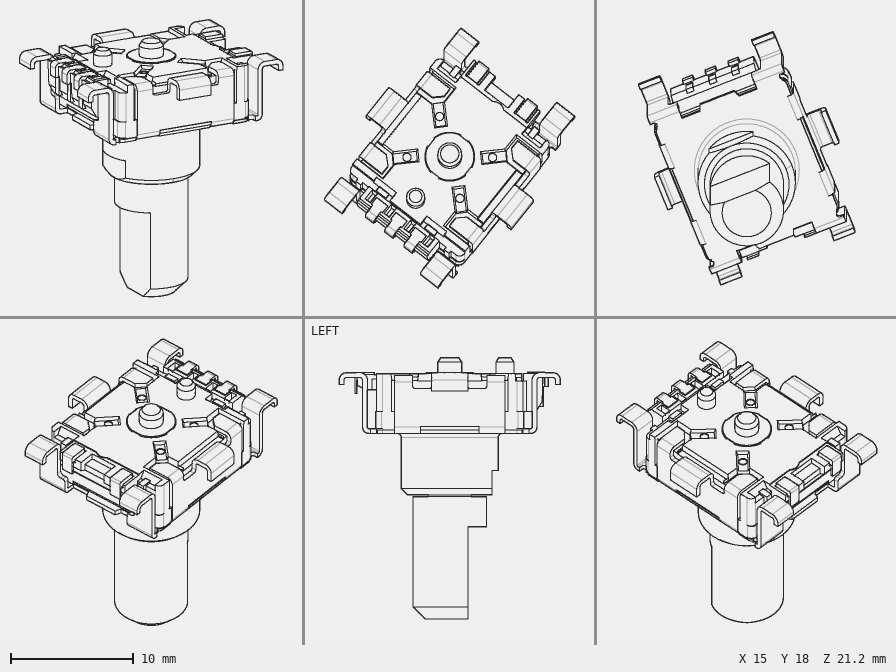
import cadquery as cq
import math


TOTAL_HEIGHT = 21.25
SPAN_X = 15.0
SPAN_Y = 18.0
MERGE = 0.1

SHAFT_R = 3.0
SHAFT_TOP = 9.97
SHAFT_CHAMFER = 1.0
SHAFT_FLAT_Y = -1.49
SHAFT_FLAT_TOP = 7.5
NECK_R = 1.75
BUSHING_R = 3.95
BUSHING_BOTTOM = 10.1
BUSHING_CHAMFER = 0.5
BUSHING_FLAT_Y = -3.45
BUSHING_FLAT_TOP = 12.08
FLARE = 0.32

SHEET = 0.4
BEND_IN = 0.21
BEND_OUT = BEND_IN + SHEET
FOOT_BEND_IN = 0.1
FOOT_BEND_OUT = FOOT_BEND_IN + SHEET
FRAME_BOTTOM = 15.1
FLOOR_TOP = FRAME_BOTTOM + SHEET
FLOOR_X = 5.7
HOOK_TOP = 20.05
FRAME_X = 5.89
WALL_IN_X = FRAME_X - SHEET
WALL_HALF_Y = 4.49
WALL_TOP = 18.75
WALL_GAP_HALF_Y = 3.02
WALL_GAP_R = 0.21
SIDE_HOOK_HALF_Y = 1.47
SIDE_HOOK_TIP_Z = 18.55
SQUARE_EDGE_X = 5.63
SQUARE_EDGE_HALF_Y = 2.35
SQUARE_EDGE_TOP = 15.67
LEG_Y = 7.1
LEG_IN_X = 4.05
LEG_FOOT_X = 3.27
LEG_FOOT_TOP = 16.63
LEG_FOOT_ROUND = 0.21
LEG_FOOT_FILLET = 0.32
LEG_TIP_Z = 19.07
NOTCH_X = 5.38
NOTCH_W = 0.47
LIP_Y = 6.48
LIP_HALF_X = 1.5
LIP_ROOT_X = 1.72

BODY_X = 5.83
BODY_Y = 5.97
BODY_TOP = 19.96
CORNER_R = 0.49
PLINTH_TOP = 16.88
PLINTH_EXTRA = 0.06
RECESS_FLOOR = 19.4
LEDGE_X = 4.91
LEDGE_HALF_Y = 2.57
LEDGE_Z = 19.35
GROOVE_W = 0.25
RAMP_RUN = 0.4
UNDERCUT_DEPTH = 0.17
UNDERCUT_HEIGHT = 0.35

TAB_TOP = 19.81
TAB_BEND_R = 0.5
TAB_IN_X = 3.49
TAB_CUT_X = 4.19
TAB_CUT_Y = 3.68
RECESS_Y = 4.8
RECESS_IN_X = 3.13
RECESS_CORNER_Y = 3.27
RECESS_DRAFT = 12.0
SLOT_FLOOR = 19.69
SLOT_DRAFT = 25.0
SLOT_INNER = (1.7, 1.87)
SLOT_OUTER = (2.45, 1.1)
SLOT_ROOT = (3.85, 2.5)
SLOT_OVERLAP = 0.21
DIMPLE_R = 0.35
DIMPLE_DEPTH = 0.09
DIMPLE_X = 2.75
DIMPLE_Y = 2.15

DISC_R = 2.02
DISC_H = 0.09
DISC_CHAMFER = 0.06
DISC_NOTCH_R = 1.9
DISC_NOTCH_W = 0.83
PIN_R = 0.98
LOCATOR_R = 0.75
LOCATOR_Y = -4.49
PIN_CHAMFER_H = 0.36
PIN_CHAMFER_W = 0.23
LID_EDGE_Y = 5.76
BUMP_R = 0.83
BUMP_X = 0.49

FRONT_HALF_X = 3.64
FRONT_Y = -7.6
FRONT_TOP = 19.98
FRONT_LEDGE_W = 0.2
FRONT_BEVEL_W = 0.15
FRONT_LEDGE_DROP = 0.21
FRONT_SLOPE_TOP = 17.69
FRONT_SLOPE_Y = -7.5
FRONT_BOTTOM_Y = -7.04
FRONT_PITCH = 2.0
FRONT_PIN_W = 0.87
FRONT_PIN_PLATE_W = 1.15
FRONT_PIN_PLATE_Y = (-7.04, -6.34)
FRONT_PIN_TOP = 20.1
FRONT_PIN_TIP_Z = 18.9
FRONT_PIN_TIP_Y = -8.02
FRONT_PIN_T = 0.3
FRONT_STRIP_W = 0.6
FRONT_STRIP_Y = -7.61
FRONT_STRIP_BOTTOM = 17.28
FRONT_PIT_X = (1.02, 2.98)
FRONT_PIT_W = 0.53
FRONT_PIT_Y = (-7.0, -6.04)
FRONT_PIT_DEPTH = 0.75
FRONT_PIT_DRAFT = 10.0
FRONT_SLIT_Y = (-6.0, -5.87)
FRONT_POCKET_X = (1.57, FRONT_HALF_X)
FRONT_POCKET_Y = -5.02
FRONT_STEP_Y = -5.35
PAD_X = (2.0, 3.02)
PAD_TOP = 19.67
FRONT_RIB_X = (4.32, 4.83)
FRONT_RIB_Y = -6.23

REAR_HALF_X = 3.42
REAR_Y = 7.53
REAR_TOP = 19.88
REAR_BOTTOM = 18.65
REAR_CHAMFER = 0.36
REAR_GAP_HALF_X = 1.21
REAR_GAP_Y = (6.1, 7.02)
REAR_GAP_TOP = 19.35
REAR_PIN_Y = (6.12, 7.72)
REAR_PIN_T = 0.17
REAR_PIN_TOP = 20.07
REAR_PIN_TIP_Z = 18.35
REAR_GROOVE_W = 0.17
REAR_GROOVE_DEPTH = 0.36
REAR_POCKET_X = (REAR_HALF_X, 5.32)
REAR_POCKET_Y = 5.1
REAR_RIB_X = (3.8, 4.34)
REAR_RIB_Y = (5.4, 6.31)
REAR_RIB_TOP = 19.52


def block(xs, ys, zs):
    """Box spanning the given X, Y and Z ranges."""
    size = [max(r) - min(r) for r in (xs, ys, zs)]
    corner = (min(xs), min(ys), min(zs))
    return cq.Workplane("XY").box(*size, centered=False).translate(corner)


def both_x(solid):
    """The solid together with its mirror image across the YZ plane."""
    return solid.union(solid.mirror("YZ"))


def all_corners(solid):
    """The solid repeated in all four quadrants of the plan."""
    half = both_x(solid)
    return half.union(half.mirror("XZ"))


def post(radius, z0, z1, x=0.0, y=0.0):
    """Vertical cylinder."""
    return cq.Workplane("XY", origin=(x, y, z0)).circle(radius).extrude(z1 - z0)


def side_profile(points, xs):
    """Closed outline in (Y, Z) extruded along the X range."""
    prism = cq.Workplane("YZ").polyline(points).close().extrude(max(xs) - min(xs))
    return prism.translate((min(xs), 0, 0))


def bent_strip(plane, wall, tip, tip_z, foot, width):
    """Sheet strip: foot, upright wall, then a hook over the top; swept across +/- width / 2."""
    low, high = FRAME_BOTTOM, HOOK_TOP
    arm_end = tip - BEND_OUT
    return (
        cq.Workplane(plane)
        .moveTo(foot, low)
        .lineTo(wall - FOOT_BEND_OUT, low)
        .tangentArcPoint((wall, low + FOOT_BEND_OUT), relative=False)
        .lineTo(wall, high - BEND_OUT)
        .tangentArcPoint((wall + BEND_IN, high - SHEET), relative=False)
        .lineTo(arm_end, high - SHEET)
        .tangentArcPoint((tip - SHEET, high - BEND_OUT), relative=False)
        .lineTo(tip - SHEET, tip_z)
        .lineTo(tip, tip_z)
        .lineTo(tip, high - BEND_OUT)
        .tangentArcPoint((arm_end, high), relative=False)
        .lineTo(wall - SHEET + BEND_OUT, high)
        .tangentArcPoint((wall - SHEET, high - BEND_OUT), relative=False)
        .lineTo(wall - SHEET, low + FOOT_BEND_OUT)
        .tangentArcPoint((wall - FOOT_BEND_OUT, low + SHEET), relative=False)
        .lineTo(foot, low + SHEET)
        .close()
        .extrude(width / 2, both=True)
    )


def make_shaft():
    shaft = post(SHAFT_R, 0, SHAFT_TOP).faces("<Z").chamfer(SHAFT_CHAMFER)
    flat = block((-SHAFT_R, SHAFT_R), (-SHAFT_R, SHAFT_FLAT_Y), (0, SHAFT_FLAT_TOP))
    neck = post(NECK_R, SHAFT_TOP - MERGE, BUSHING_BOTTOM + MERGE)
    return shaft.cut(flat).union(neck)


def make_bushing():
    bushing = (
        cq.Workplane("XZ")
        .moveTo(0, BUSHING_BOTTOM)
        .lineTo(BUSHING_R - BUSHING_CHAMFER, BUSHING_BOTTOM)
        .lineTo(BUSHING_R, BUSHING_BOTTOM + BUSHING_CHAMFER)
        .lineTo(BUSHING_R, FRAME_BOTTOM - FLARE)
        .tangentArcPoint((BUSHING_R + FLARE, FRAME_BOTTOM), relative=False)
        .lineTo(BUSHING_R + FLARE, FRAME_BOTTOM + MERGE)
        .lineTo(0, FRAME_BOTTOM + MERGE)
        .close()
        .revolve(360, (0, 0), (0, 1))
    )
    flat = block((-BUSHING_R, BUSHING_R), (-BUSHING_R, BUSHING_FLAT_Y), (BUSHING_BOTTOM, BUSHING_FLAT_TOP))
    return bushing.cut(flat)


def make_floor():
    """Bottom plate, narrower where the side walls bend up, with front and rear lips."""
    floor = block((-FLOOR_X, FLOOR_X), (-BODY_Y, BODY_Y), (FRAME_BOTTOM, FLOOR_TOP))
    floor = floor.edges("|Z").fillet(CORNER_R)
    wall_feet = block(
        (FRAME_X - FOOT_BEND_OUT, FRAME_X), (-WALL_HALF_Y, WALL_HALF_Y), (FRAME_BOTTOM, FLOOR_TOP)
    )
    floor = floor.cut(both_x(wall_feet))
    lip = (
        cq.Workplane("XY", origin=(0, 0, FRAME_BOTTOM))
        .moveTo(LIP_ROOT_X, -BODY_Y)
        .lineTo(LIP_ROOT_X, BODY_Y)
        .lineTo(LIP_HALF_X, LIP_Y)
        .lineTo(0, LIP_Y)
        .lineTo(0, -LIP_Y)
        .lineTo(LIP_HALF_X, -LIP_Y)
        .close()
        .extrude(SHEET)
    )
    return floor.union(both_x(lip))


def make_side_walls():
    """Two side walls, each with a lowered middle, a set-back square lower edge and one hook."""
    foot = FRAME_X - 2 * BEND_OUT
    hook = bent_strip("XZ", FRAME_X, SPAN_X / 2, SIDE_HOOK_TIP_Z, foot, 2 * SIDE_HOOK_HALF_Y)
    wall = bent_strip("XZ", FRAME_X, SPAN_X / 2, SIDE_HOOK_TIP_Z, foot, 2 * WALL_HALF_Y)
    rim = WALL_TOP + WALL_GAP_R
    wall = wall.intersect(block((foot, FRAME_X), (-WALL_HALF_Y, WALL_HALF_Y), (FRAME_BOTTOM, rim)))
    gap = block((foot, FRAME_X), (SIDE_HOOK_HALF_Y, WALL_GAP_HALF_Y), (WALL_TOP, TOTAL_HEIGHT))
    gap = gap.faces("<Z").edges("|X").fillet(WALL_GAP_R)
    wall = wall.cut(gap).cut(gap.mirror("XZ"))
    edge_y = (-SQUARE_EDGE_HALF_Y, SQUARE_EDGE_HALF_Y)
    edge_z = (FRAME_BOTTOM, SQUARE_EDGE_TOP)
    square_edge = block((foot, SQUARE_EDGE_X), edge_y, edge_z)
    relief = block((SQUARE_EDGE_X, FRAME_X), edge_y, edge_z)
    return both_x(wall.union(hook).union(square_edge).cut(relief))


def make_legs():
    """Four upright legs, each with a widened foot and a hook at the top."""
    width = FRAME_X - LEG_FOOT_X
    foot = BODY_Y - CORNER_R
    leg = bent_strip("YZ", LEG_Y, SPAN_Y / 2, LEG_TIP_Z, foot, width)
    leg = leg.translate(((FRAME_X + LEG_FOOT_X) / 2, 0, 0))
    relief = (
        cq.Workplane("XZ")
        .moveTo(LEG_FOOT_X, LEG_FOOT_TOP - LEG_FOOT_ROUND)
        .radiusArc((LEG_FOOT_X + LEG_FOOT_ROUND, LEG_FOOT_TOP), LEG_FOOT_ROUND)
        .lineTo(LEG_IN_X - LEG_FOOT_FILLET, LEG_FOOT_TOP)
        .radiusArc((LEG_IN_X, LEG_FOOT_TOP + LEG_FOOT_FILLET), -LEG_FOOT_FILLET)
        .lineTo(LEG_IN_X, TOTAL_HEIGHT)
        .lineTo(LEG_FOOT_X, TOTAL_HEIGHT)
        .close()
        .extrude(-SPAN_Y)
    )
    notch_r = NOTCH_W / 2
    notch_y = BODY_Y + notch_r
    notch = block(
        (NOTCH_X + notch_r, FRAME_X), (BODY_Y, BODY_Y + NOTCH_W), (FRAME_BOTTOM, FLOOR_TOP)
    ).union(post(notch_r, FRAME_BOTTOM, FLOOR_TOP, NOTCH_X + notch_r, notch_y))
    corner = block((WALL_IN_X, FRAME_X), (foot, BODY_Y), (FRAME_BOTTOM, FLOOR_TOP))
    return all_corners(leg.cut(relief).cut(notch).cut(corner))


def make_tabs():
    """Four staking tabs that fold from the side walls onto the body."""
    outline = [
        (FRAME_X, WALL_HALF_Y),
        (TAB_IN_X, WALL_HALF_Y),
        (TAB_IN_X, TAB_CUT_Y),
        (TAB_CUT_X, WALL_GAP_HALF_Y),
        (FRAME_X, WALL_GAP_HALF_Y),
    ]
    depth = TAB_TOP - WALL_TOP + MERGE
    tab = cq.Workplane("XY", origin=(0, 0, TAB_TOP)).polyline(outline).close().extrude(-depth)
    return all_corners(tab.faces(">X").edges(">Z").fillet(TAB_BEND_R))


def corner_recess():
    """Drafted pocket around one tab, continued as a diagonal slot with a round dimple."""
    outside = FRAME_X + BEND_OUT
    top = cq.Workplane("XY", origin=(0, 0, BODY_TOP))
    mouth = (RECESS_IN_X, RECESS_CORNER_Y)
    outline = [
        (outside, RECESS_Y),
        (RECESS_IN_X, RECESS_Y),
        mouth,
        SLOT_ROOT,
        (outside, SLOT_ROOT[1]),
    ]
    recess = top.polyline(outline).close()
    recess = recess.extrude(RECESS_FLOOR - BODY_TOP, taper=RECESS_DRAFT)

    overlap = [(x + SLOT_OVERLAP, y + SLOT_OVERLAP) for x, y in (SLOT_ROOT, mouth)]
    slot = top.polyline([SLOT_INNER, SLOT_OUTER, *overlap]).close()
    slot = slot.extrude(SLOT_FLOOR - BODY_TOP, taper=SLOT_DRAFT)
    dimple = post(DIMPLE_R, SLOT_FLOOR - DIMPLE_DEPTH, BODY_TOP, DIMPLE_X, DIMPLE_Y)
    return recess.union(slot).union(dimple)


def ramped_pocket(xs, y_start, y_end):
    """Pocket whose floor is reached by a ramp going away from the middle."""
    ramp_end = y_start + math.copysign(RAMP_RUN, y_end)
    outline = [(y_start, BODY_TOP), (ramp_end, LEDGE_Z), (y_end, LEDGE_Z), (y_end, BODY_TOP)]
    return both_x(side_profile(outline, xs))


def make_body():
    body = block((-BODY_X, BODY_X), (-BODY_Y, BODY_Y), (FLOOR_TOP - MERGE, BODY_TOP))
    body = body.edges("|Z").fillet(CORNER_R)
    plinth_y = BODY_Y + PLINTH_EXTRA
    plinth = block((-BODY_X, BODY_X), (-plinth_y, plinth_y), (FLOOR_TOP, PLINTH_TOP))
    body = body.union(plinth.edges("|Z").fillet(CORNER_R))

    body = body.cut(all_corners(corner_recess()))
    ledge = block((LEDGE_X, FRAME_X), (-LEDGE_HALF_Y, LEDGE_HALF_Y), (LEDGE_Z, BODY_TOP))
    gap = block((WALL_IN_X, FRAME_X), (-WALL_GAP_HALF_Y, WALL_GAP_HALF_Y), (WALL_TOP, BODY_TOP))
    groove = block(
        (WALL_IN_X, FRAME_X), (WALL_HALF_Y, WALL_HALF_Y + GROOVE_W), (PLINTH_TOP, BODY_TOP)
    )
    body = body.cut(both_x(ledge.union(gap))).cut(all_corners(groove))

    body = body.cut(ramped_pocket(FRONT_POCKET_X, FRONT_POCKET_Y, -BODY_Y))
    body = body.cut(ramped_pocket(REAR_POCKET_X, REAR_POCKET_Y, BODY_Y))
    front_step = block((FRONT_HALF_X, FRAME_X), (-BODY_Y, FRONT_STEP_Y), (LEDGE_Z, BODY_TOP))
    undercut = side_profile(
        [
            (-plinth_y, FLOOR_TOP),
            (UNDERCUT_DEPTH - plinth_y, FLOOR_TOP),
            (-plinth_y, FLOOR_TOP + UNDERCUT_HEIGHT),
        ],
        (0, LEG_FOOT_X),
    )
    body = body.cut(both_x(front_step)).cut(all_corners(undercut))

    pads = block(PAD_X, (-BODY_Y, FRONT_POCKET_Y - RAMP_RUN), (LEDGE_Z - MERGE, PAD_TOP))
    front_rib = block(FRONT_RIB_X, (FRONT_RIB_Y, FRONT_STEP_Y), (PLINTH_TOP, LEDGE_Z))
    rear_rib = block(REAR_RIB_X, REAR_RIB_Y, (REAR_BOTTOM, REAR_RIB_TOP))
    return body.union(both_x(pads)).union(both_x(front_rib)).union(both_x(rear_rib))


def make_front_block():
    """Block with three hooked terminals and four pits between them."""
    root = MERGE - BODY_Y
    outline = [
        (root, PLINTH_TOP),
        (FRONT_BOTTOM_Y, PLINTH_TOP),
        (FRONT_SLOPE_Y, FRONT_SLOPE_TOP),
        (FRONT_Y, FRONT_TOP - FRONT_LEDGE_DROP),
        (FRONT_Y + FRONT_LEDGE_W, FRONT_TOP - FRONT_LEDGE_DROP),
        (FRONT_Y + FRONT_LEDGE_W + FRONT_BEVEL_W, FRONT_TOP),
        (root, FRONT_TOP),
    ]
    solid = side_profile(outline, (-FRONT_HALF_X, FRONT_HALF_X))
    for pit_x in FRONT_PIT_X:
        pit = cq.Workplane("XY", origin=(pit_x, sum(FRONT_PIT_Y) / 2, FRONT_TOP))
        pit = pit.rect(FRONT_PIT_W, FRONT_PIT_Y[1] - FRONT_PIT_Y[0])
        pit = pit.extrude(-FRONT_PIT_DEPTH, taper=FRONT_PIT_DRAFT)
        solid = solid.cut(both_x(pit))

    half_w = FRONT_PIN_W / 2
    bar = block((-half_w, half_w), (FRONT_PIN_TIP_Y, FRONT_PIN_PLATE_Y[0]), (FRONT_PIN_TIP_Z, FRONT_PIN_TOP))
    bar = bar.faces("<Y").edges(">Z").fillet(FRONT_PIN_T + BEND_IN / 2)
    under = block(
        (-half_w, half_w),
        (FRONT_PIN_TIP_Y + FRONT_PIN_T, FRONT_PIN_PLATE_Y[0]),
        (FRONT_PIN_TIP_Z, FRONT_PIN_TOP - FRONT_PIN_T),
    )
    plate_half = FRONT_PIN_PLATE_W / 2
    plate = block((-plate_half, plate_half), FRONT_PIN_PLATE_Y, (FRONT_TOP - MERGE, FRONT_PIN_TOP))
    strip_half = FRONT_STRIP_W / 2
    strip = block(
        (-strip_half, strip_half),
        (FRONT_STRIP_Y, FRONT_BOTTOM_Y),
        (FRONT_STRIP_BOTTOM, FRONT_PIN_TIP_Z),
    )
    terminal = bar.cut(under).union(plate).union(strip)
    for offset in (-FRONT_PITCH, 0, FRONT_PITCH):
        solid = solid.union(terminal.translate((offset, 0, 0)))
    return solid


def make_rear_block():
    """Block with a lowered, shorter middle and two bent terminals set between grooves."""
    root = BODY_Y - MERGE
    outline = [
        (root, REAR_BOTTOM),
        (REAR_Y - 2 * REAR_CHAMFER, REAR_BOTTOM),
        (REAR_Y, REAR_BOTTOM + REAR_CHAMFER),
        (REAR_Y, REAR_TOP),
        (root, REAR_TOP),
    ]
    solid = side_profile(outline, (-REAR_HALF_X, REAR_HALF_X))
    gap_x = (-REAR_GAP_HALF_X, REAR_GAP_HALF_X)
    solid = solid.cut(block(gap_x, (REAR_GAP_Y[1], REAR_Y), (REAR_BOTTOM, REAR_TOP)))
    solid = solid.cut(block(gap_x, REAR_GAP_Y, (REAR_GAP_TOP, REAR_TOP)))

    pin_y, pin_end = REAR_PIN_Y
    groove_x = (PAD_X[0] - REAR_GROOVE_W, PAD_X[1] + REAR_GROOVE_W)
    groove = block(groove_x, (pin_y, REAR_Y), (REAR_TOP - REAR_GROOVE_DEPTH, REAR_TOP))
    arm = block(PAD_X, (pin_y, pin_end), (REAR_TOP - REAR_GROOVE_DEPTH - MERGE, REAR_PIN_TOP))
    arm = arm.faces(">Y").edges(">Z").fillet(REAR_PIN_T)
    tip = block(PAD_X, (pin_end - REAR_PIN_T, pin_end), (REAR_PIN_TIP_Z, REAR_TOP - REAR_PIN_T))
    return solid.cut(both_x(groove)).union(both_x(arm.union(tip)))


def make_pin(radius, y):
    """Chamfered locating pin rising to the full height."""
    pin = post(radius, BODY_TOP - MERGE, TOTAL_HEIGHT, 0, y)
    return pin.faces(">Z").edges().chamfer(PIN_CHAMFER_H, PIN_CHAMFER_W)


def make_disc():
    """Low raised disc with four flat notches in its rim."""
    disc = post(DISC_R, BODY_TOP - MERGE, BODY_TOP + DISC_H)
    disc = disc.faces(">Z").chamfer(DISC_CHAMFER)
    notch = block(
        (DISC_NOTCH_R, DISC_R),
        (-DISC_NOTCH_W / 2, DISC_NOTCH_W / 2),
        (BODY_TOP, BODY_TOP + DISC_H),
    )
    for quarter in range(4):
        disc = disc.cut(notch.rotate((0, 0, 0), (0, 0, 1), 90 * quarter))
    return disc


def make_lid_edge():
    """Shallow step along the rear edge, interrupted by a rounded bump."""
    step = block((-REAR_HALF_X, REAR_HALF_X), (LID_EDGE_Y, BODY_Y), (REAR_TOP, BODY_TOP))
    bump_y = BODY_Y - BUMP_R
    return step.cut(post(BUMP_R, REAR_TOP, BODY_TOP, BUMP_X, bump_y))


def make_front_slit():
    """Narrow gap between the lid and the front terminal block."""
    return block((-FRONT_HALF_X, FRONT_HALF_X), FRONT_SLIT_Y, (LEDGE_Z, FRONT_TOP))


body = make_body().union(make_rear_block()).cut(make_lid_edge())
body = body.union(make_front_block()).cut(make_front_slit())
frame = make_floor().union(make_side_walls()).union(make_legs()).union(make_tabs())
turning = make_shaft().union(make_bushing())
lid = make_disc().union(make_pin(PIN_R, 0)).union(make_pin(LOCATOR_R, LOCATOR_Y))

result = turning.union(frame).union(body).union(lid)